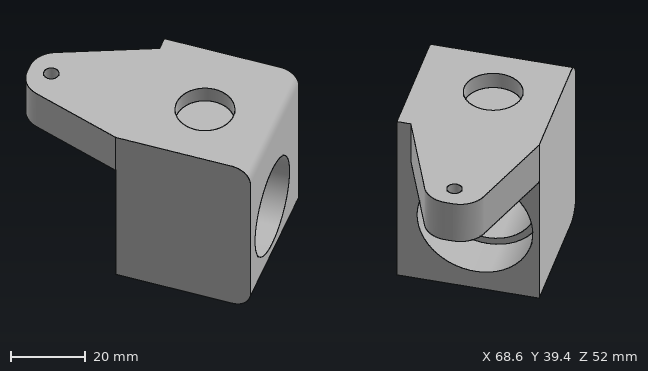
import cadquery as cq
import math

total_length = 68.6
block_length = 38.05
width = 39.35
height = 52.05
block_start = total_length - block_length
edge_radius = 5.15

arm_thickness = 12.6
arm_back_width = 35.45
tip_radius = 7.55
tip_low_y = 15.7
tip_high_y = 17.8
pin_x = 6.4
pin_y = 17.0
pin_diameter = 4.1

bore_y = 17.75
bore_z = 21.6
bore_diameter = 28.0
counterbore_diameter = 31.95
counterbore_depth = 12.5
pocket_x = block_start + block_length / 2
pocket_diameter = 16.0
pocket_depth = 4.8


def tangent_point(corner, center, radius, side):
    """Point where the line from corner touches a circle, on the given side."""
    dx = corner[0] - center[0]
    dy = corner[1] - center[1]
    angle = math.atan2(dy, dx) + side * math.acos(radius / math.hypot(dx, dy))
    return point_on_circle(center, radius, angle)


def point_on_circle(center, radius, angle):
    return (center[0] + radius * math.cos(angle), center[1] + radius * math.sin(angle))


def angle_of(point, center):
    return math.atan2(point[1] - center[1], point[0] - center[0]) % (2 * math.pi)


def make_block():
    block = cq.Workplane("XY").box(block_length, width, height, centered=False)
    block = block.edges(">X and |Y").fillet(edge_radius)
    return block.translate((block_start, 0, 0))


def make_arm():
    low_center = (tip_radius, tip_low_y)
    high_center = (tip_radius, tip_high_y)
    front_corner = (block_start, 0)
    back_corner = (block_start, arm_back_width)
    low_tangent = tangent_point(front_corner, low_center, tip_radius, -1)
    high_tangent = tangent_point(back_corner, high_center, tip_radius, 1)
    low_middle = (angle_of(low_tangent, low_center) + math.pi) / 2
    high_middle = (angle_of(high_tangent, high_center) + math.pi) / 2
    arm = (
        cq.Workplane("XY", origin=(0, 0, height - arm_thickness))
        .moveTo(*front_corner)
        .lineTo(*back_corner)
        .lineTo(*high_tangent)
        .threePointArc(point_on_circle(high_center, tip_radius, high_middle), (0, tip_high_y))
        .lineTo(0, tip_low_y)
        .threePointArc(point_on_circle(low_center, tip_radius, low_middle), low_tangent)
        .close()
        .extrude(arm_thickness)
    )
    return arm


def x_cylinder(diameter, length):
    """Cylinder on the bore axis, starting at the arm side of the block."""
    return cq.Workplane("YZ", origin=(block_start, bore_y, bore_z)).circle(diameter / 2).extrude(length)


def top_hole(x, y, diameter, depth):
    """Vertical cylinder reaching down from the top face."""
    return cq.Workplane("XY", origin=(x, y, height)).circle(diameter / 2).extrude(-depth)


result = (
    make_block()
    .union(make_arm())
    .cut(x_cylinder(bore_diameter, block_length))
    .cut(x_cylinder(counterbore_diameter, counterbore_depth))
    .cut(top_hole(pin_x, pin_y, pin_diameter, arm_thickness))
    .cut(top_hole(pocket_x, bore_y, pocket_diameter, pocket_depth))
)